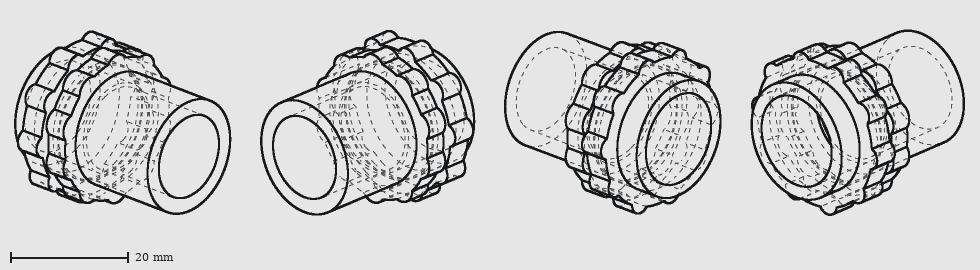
import cadquery as cq
import math

tube_length = 31.0
nut_start = 4.53
nut_end = 8.95
collar_start = 10.05
collar_end = 14.0

threaded_diameter = 20.95
sleeve_diameter = 20.4
front_bore_diameter = 16.3
shoulder_diameter = 15.0
rear_bore_diameter = 14.82
shoulder_end = collar_end
shoulder_half_angle = 75.0

lobe_count = 10
nut_base_radius = 13.33
nut_lobe_radius = 2.08
nut_tip_diameter = 29.1
nut_lobe_angle = 4.0
collar_base_radius = 12.77
collar_lobe_radius = 2.7
collar_tip_diameter = 27.47
collar_lobe_angle = 90.0


def make_tube():
    """Stepped tube with a wide front bore, a conical shoulder and a slightly tapered rear bore."""
    shoulder_height = (front_bore_diameter - shoulder_diameter) / 2
    shoulder_length = shoulder_height / math.tan(math.radians(shoulder_half_angle))
    profile = [
        (0, front_bore_diameter / 2),
        (0, threaded_diameter / 2),
        (collar_start, threaded_diameter / 2),
        (collar_start, sleeve_diameter / 2),
        (tube_length, sleeve_diameter / 2),
        (tube_length, rear_bore_diameter / 2),
        (shoulder_end, shoulder_diameter / 2),
        (shoulder_end - shoulder_length, front_bore_diameter / 2),
    ]
    return cq.Workplane("XY").polyline(profile).close().revolve(360, (0, 0, 0), (1, 0, 0))


def make_lobed_ring(start, end, base_radius, lobe_radius, tip_diameter, first_angle, hole_diameter):
    """Ring between two X stations, with round grip lobes evenly spaced on its rim."""
    width = end - start
    lobe_center_radius = tip_diameter / 2 - lobe_radius
    plane = cq.Workplane("YZ", origin=(start, 0, 0))
    ring = plane.circle(base_radius).extrude(width)
    for index in range(lobe_count):
        angle = math.radians(first_angle + index * 360 / lobe_count)
        center_y = lobe_center_radius * math.cos(angle)
        center_z = lobe_center_radius * math.sin(angle)
        lobe = plane.center(center_y, center_z).circle(lobe_radius).extrude(width)
        ring = ring.union(lobe)
    hole = plane.circle(hole_diameter / 2).extrude(width)
    return ring.cut(hole)


tube = make_tube()
nut = make_lobed_ring(
    nut_start, nut_end, nut_base_radius, nut_lobe_radius, nut_tip_diameter, nut_lobe_angle, threaded_diameter
)
collar = make_lobed_ring(
    collar_start, collar_end, collar_base_radius, collar_lobe_radius, collar_tip_diameter,
    collar_lobe_angle, sleeve_diameter
)

result = cq.Compound.makeCompound([tube.val(), nut.val(), collar.val()])